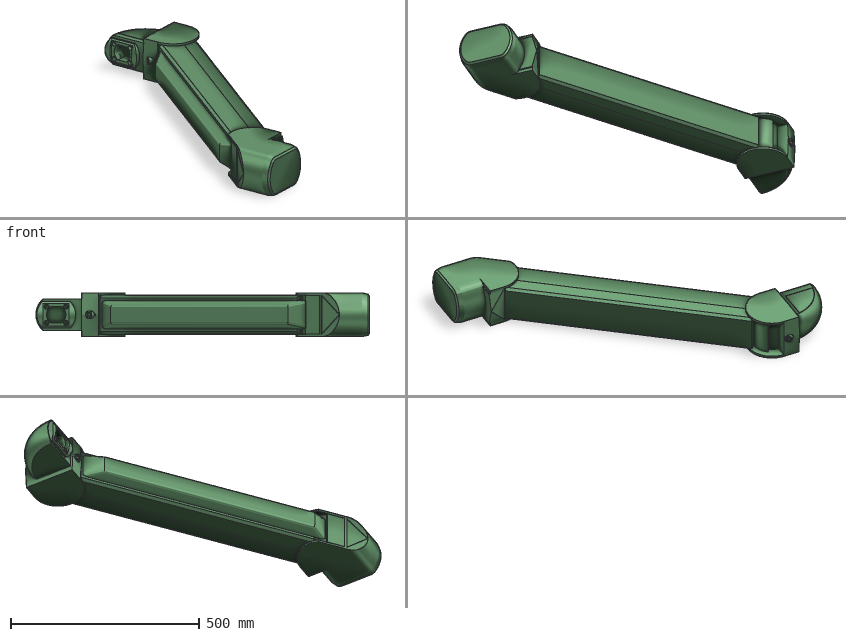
import cadquery as cq
import math

overall_length = 887.0
arm_length = 757.0
arm_angle = 38.4
joint_height = 116.0
plate_thickness = 6.0
slot_height = joint_height - 2 * plate_thickness
reach = 266.0

arm_x = math.cos(math.radians(arm_angle))
arm_y = -math.sin(math.radians(arm_angle))
elbow_x = arm_length * arm_x
elbow_y = arm_length * arm_y

wrist_radius = 70.0
wrist_face_x = -45.0
ridge_rise = 3.0

elbow_radius = 68.0
corner_x = 43.0
tube_top_y = 47.0
tube_bottom_y = -112.0
tube_round_depth = 38.0
shoulder_inset = 17.0
shoulder_drop = 10.0
taper_length = 19.5
taper_drop = 4.0
rim_chamfer = 4.0
cut_distance = 58.5
slot_setback = 9.0
wedge_rise = 13.0
wedge_start_x = 3.0
wedge_height = 98.0
wedge_overhang = 3.5
panel_depth = 1.0
panel_length = 48.0
panel_to_tube = 7.0

hub_radius = 41.0
collar_radius = 52.0
beam_setback = 44.0
beam_top = 54.0
beam_bottom = -51.0
beam_chamfer = 7.0
seam_y = 11.5
cover_depth = 27.5
cover_base_width = 75.0
cover_crown_width = 53.0
cover_round = 11.0
cover_start = 52.0
cover_gap = 2.0
cover_end = arm_length - slot_setback - cover_gap
cover_start_ramp = 51.0
cover_end_ramp = 43.0

head_radius = 124.0
head_center_x = -43.0
head_center_y = -66.0
head_height = 84.0
head_half_height = head_height / 2
head_round_depth = 19.5
recess_depth = 1.0
recess_margin = 19.0
recess_edge_inset = 1.0
recess_radius = head_radius - head_round_depth - recess_edge_inset
mouth_center_x = -113.0
mouth_length = 103.0
mouth_height = 70.0
mouth_rise = 15.0
pad_rise = 7.0
pad_gap = 69.0
crown_drop = 10.0
opening_radius = 26.0
opening_height = 43.5
opening_depth = 27.0
mouth_hole_diameter = 12.0
mouth_hole_x = 26.0
mouth_hole_z = 21.0
mouth_hole_depth = 13.0

screw_diameter = 20.0
screw_length = 16.0
socket_diameter = 12.0
socket_depth = 4.0
screw_cap_y = 76.0
screw_mid_x = -19.0
screw_shift_x = 8.0

tube_end_x = overall_length + head_center_x - head_radius - elbow_x


def plan_prism(points, height):
    """Polygon in XY extruded equally above and below z = 0."""
    return cq.Workplane("XY").polyline(points).close().extrude(height / 2, both=True)


def disc(radius, height):
    """Cylinder along Z, centred on z = 0."""
    return cq.Workplane("XY").circle(radius).extrude(height / 2, both=True)


def place_on_arm(body):
    """Turn a body from the arm's own frame to its place in the assembly."""
    return body.rotate((0, 0, 0), (0, 0, 1), -arm_angle)


def make_arm_blank():
    """Chamfered beam with a hub and a wider half-round collar at each joint, in the arm's own frame."""
    beam_width = beam_top - beam_bottom
    beam = (
        cq.Workplane("YZ", origin=(beam_setback, (beam_top + beam_bottom) / 2, 0))
        .rect(beam_width, slot_height)
        .extrude(arm_length - 2 * beam_setback)
        .edges("|X")
        .chamfer(beam_chamfer)
    )
    between_joints = cq.Workplane("XY").box(arm_length, reach, reach).translate((arm_length / 2, 0, 0))
    for joint_x in (0, arm_length):
        hub = disc(hub_radius, slot_height).translate((joint_x, 0, 0))
        collar = disc(collar_radius, slot_height).translate((joint_x, 0, 0)).intersect(between_joints)
        beam = beam.union(hub).union(collar)
    return beam


def make_cover():
    """Tapered cover along the underside of the arm, ramped at both ends."""
    crown_y = beam_bottom - cover_depth
    cover = (
        cq.Workplane("YZ", origin=(cover_start, 0, 0))
        .polyline([
            (beam_bottom, cover_base_width / 2),
            (crown_y, cover_crown_width / 2),
            (crown_y, -cover_crown_width / 2),
            (beam_bottom, -cover_base_width / 2),
        ])
        .close()
        .extrude(cover_end - cover_start)
    )
    ramps = plan_prism(
        [
            (cover_start, beam_bottom),
            (cover_start + cover_start_ramp, crown_y),
            (cover_end - cover_end_ramp, crown_y),
            (cover_end, beam_bottom),
        ],
        slot_height,
    )
    return cover.intersect(ramps).faces("<Y or <X or >X").edges("not |Z").fillet(cover_round)


def make_arm_half(upper):
    """One half of the arm; a plane along the arm parts the halves, and the lower one carries the cover."""
    side = 1 if upper else -1
    half_space = (
        cq.Workplane("XY")
        .box(arm_length + 2 * reach, reach, reach)
        .translate((arm_length / 2, seam_y + side * reach / 2, 0))
    )
    half = make_arm_blank().intersect(half_space)
    if not upper:
        half = half.union(make_cover())
    return place_on_arm(half)


def make_wrist_blank():
    """D-shaped joint block whose flat sides rise to a low ridge at mid height."""
    block = (
        cq.Workplane("XY")
        .moveTo(0, wrist_radius)
        .threePointArc((wrist_radius, 0), (0, -wrist_radius))
        .lineTo(wrist_face_x, -wrist_radius)
        .lineTo(wrist_face_x, wrist_radius)
        .close()
        .extrude(joint_height / 2, both=True)
    )
    ridge = (
        cq.Workplane("YZ", origin=(wrist_face_x, 0, 0))
        .polyline([
            (wrist_radius, joint_height / 2),
            (wrist_radius + ridge_rise, 0),
            (wrist_radius, -joint_height / 2),
            (-wrist_radius, -joint_height / 2),
            (-wrist_radius - ridge_rise, 0),
            (-wrist_radius, joint_height / 2),
        ])
        .close()
        .extrude(-wrist_face_x)
    )
    slot = cq.Workplane("XY").box(reach, reach, slot_height).translate((reach / 2, 0, 0))
    return block.union(ridge).cut(slot)


def make_tube():
    """Flattened tube of the elbow along +X, with rounded sides and a tapered end."""
    half_height = joint_height / 2
    flat_top = tube_top_y - tube_round_depth
    flat_bottom = tube_bottom_y + tube_round_depth
    shoulder_top = tube_top_y - shoulder_inset
    shoulder_bottom = tube_bottom_y + shoulder_inset
    shoulder_z = half_height - shoulder_drop
    return (
        cq.Workplane("YZ", origin=(-elbow_radius, 0, 0))
        .moveTo(flat_bottom, half_height)
        .lineTo(flat_top, half_height)
        .tangentArcPoint((shoulder_top, shoulder_z), relative=False)
        .threePointArc((tube_top_y, 0), (shoulder_top, -shoulder_z))
        .tangentArcPoint((flat_top, -half_height), relative=False)
        .lineTo(flat_bottom, -half_height)
        .tangentArcPoint((shoulder_bottom, -shoulder_z), relative=False)
        .threePointArc((tube_bottom_y, 0), (shoulder_bottom, shoulder_z))
        .tangentArcPoint((flat_bottom, half_height), relative=False)
        .close()
        .extrude(tube_end_x + elbow_radius)
        .faces(">X")
        .chamfer(taper_length, taper_drop)
        .faces(">X")
        .chamfer(rim_chamfer)
    )


def make_wedge():
    """Wedge on the +Y side of the elbow, rising towards the corner and ridged at mid height."""
    wedge_end_x = corner_x + wedge_overhang
    plan = plan_prism(
        [
            (wedge_start_x, elbow_radius),
            (wedge_end_x, elbow_radius + wedge_rise),
            (wedge_end_x, 0),
            (wedge_start_x, 0),
        ],
        wedge_height,
    )
    ridge = (
        cq.Workplane("YZ")
        .polyline([
            (0, wedge_height / 2),
            (elbow_radius, wedge_height / 2),
            (elbow_radius + wedge_rise, 0),
            (elbow_radius, -wedge_height / 2),
            (0, -wedge_height / 2),
        ])
        .close()
        .extrude(wedge_end_x)
    )
    return plan.intersect(ridge)


def make_slant_recesses():
    """Shallow panel and triangle on the slanted face; drawn on it with X running down the slope."""
    panel_height = slot_height - 2 * panel_depth
    panel_end = panel_length - slot_setback
    triangle_start = panel_end + panel_to_tube
    foot_x = cut_distance * arm_y
    foot_y = -cut_distance * arm_x
    triangle_end = (foot_y - tube_bottom_y) / -arm_y
    face = cq.Plane(origin=(foot_x, foot_y, 0), xDir=(arm_x, arm_y, 0), normal=(arm_y, -arm_x, 0))
    panel = (
        cq.Workplane(face)
        .center(panel_end - panel_length / 2, 0)
        .rect(panel_length, panel_height)
        .extrude(-panel_depth)
    )
    triangle = (
        cq.Workplane(face)
        .polyline([
            (triangle_start, panel_height / 2),
            (triangle_end, 0),
            (triangle_start, -panel_height / 2),
        ])
        .close()
        .extrude(-panel_depth)
    )
    return panel.union(triangle)


def make_elbow_blank():
    """Round joint running into the tube, cut off by a slanted face and slotted for the arm."""
    flat_top = tube_top_y - tube_round_depth
    corner = plan_prism(
        [(0, 0), (0, elbow_radius), (corner_x, elbow_radius), (corner_x, 0)],
        joint_height,
    )
    joint = disc(elbow_radius, joint_height).intersect(
        plan_prism([(-reach, -reach), (-reach, reach), (corner_x, reach), (corner_x, -reach)], reach)
    )
    slant_keep = (
        cq.Workplane("XY")
        .box(2 * reach, 2 * reach, reach)
        .translate((0, reach - cut_distance, 0))
        .rotate((0, 0, 0), (0, 0, 1), -arm_angle)
    )
    tube_keep = plan_prism(
        [
            (0, 0),
            (corner_x, flat_top),
            (corner_x, reach),
            (reach, reach),
            (reach, -reach),
            (-elbow_radius, -reach),
            (-elbow_radius, 0),
        ],
        reach,
    )
    foot_x = reach * arm_y
    foot_y = -reach * arm_x
    setback_x = -slot_setback * arm_x
    setback_y = -slot_setback * arm_y
    slot = plan_prism(
        [
            (0, 0),
            (0, reach),
            (-reach, reach),
            (-reach, foot_y),
            (foot_x + setback_x, foot_y + setback_y),
            (setback_x, setback_y),
        ],
        slot_height,
    )
    flank = plan_prism([(0, 0), (-reach, 0), (-reach, -reach), (foot_x, foot_y)], 2 * reach)
    elbow = make_tube().intersect(tube_keep).cut(flank)
    elbow = elbow.union(joint).union(corner).union(make_wedge())
    elbow = elbow.intersect(slant_keep).cut(slot).cut(make_slant_recesses())
    return elbow.translate((elbow_x, elbow_y, 0))


def make_head():
    """Quarter-turn duct with a rounded outer edge, from the wrist face round to a mouth facing -Y."""
    inner = head_radius - head_round_depth
    ring = (
        cq.Workplane("XZ", origin=(head_center_x, head_center_y, 0))
        .moveTo(0, -head_half_height)
        .lineTo(inner, -head_half_height)
        .threePointArc((head_radius, 0), (inner, head_half_height))
        .lineTo(0, head_half_height)
        .close()
        .revolve(360, (0, 0, 0), (0, 1, 0))
    )
    quarter = plan_prism(
        [
            (wrist_face_x, head_center_y),
            (wrist_face_x, reach),
            (-reach, reach),
            (-reach, head_center_y),
        ],
        reach,
    )
    panel_corner_x = wrist_face_x - recess_margin
    panel_corner_y = head_center_y + recess_margin
    panel_edge = (
        cq.Workplane("XY", origin=(0, 0, head_half_height - recess_depth))
        .center(head_center_x, head_center_y)
        .circle(recess_radius)
        .extrude(recess_depth)
    )
    panel_keep = plan_prism(
        [
            (panel_corner_x, panel_corner_y),
            (panel_corner_x, reach),
            (-reach, reach),
            (-reach, panel_corner_y),
        ],
        reach,
    )
    head = ring.intersect(quarter).cut(panel_edge.intersect(panel_keep))
    return head.union(make_mouth()).cut(make_mouth_cuts())


def slot_shape(length, height, depth, y):
    """Prism along +Y from y, round at both X ends and flat above and below."""
    circle = cq.Workplane("XZ", origin=(mouth_center_x, y, 0)).circle(length / 2).extrude(-depth)
    band = cq.Workplane("XZ", origin=(mouth_center_x, y, 0)).rect(length, height).extrude(-depth)
    return circle.intersect(band)


def make_mouth():
    """Flange round the head's opening: crowned pads at both X ends and a lower middle."""
    outer_y = head_center_y - mouth_rise
    flange = slot_shape(mouth_length, mouth_height, mouth_rise, outer_y)
    gap = (
        cq.Workplane("XY")
        .box(pad_gap, 2 * pad_rise, reach)
        .translate((mouth_center_x, outer_y, 0))
    )
    crown = (
        cq.Workplane("YZ", origin=(-reach, 0, 0))
        .moveTo(outer_y + crown_drop, mouth_height / 2)
        .threePointArc((outer_y, 0), (outer_y + crown_drop, -mouth_height / 2))
        .lineTo(0, -mouth_height / 2)
        .lineTo(0, mouth_height / 2)
        .close()
        .extrude(reach)
    )
    return flange.intersect(crown).cut(gap)


def make_mouth_cuts():
    """Central opening with flat top and bottom, and four screw holes round it."""
    outer_y = head_center_y - mouth_rise
    opening = slot_shape(2 * opening_radius, opening_height, mouth_rise + opening_depth, outer_y)
    holes = (
        cq.Workplane("XZ", origin=(mouth_center_x, outer_y, 0))
        .rect(2 * mouth_hole_x, 2 * mouth_hole_z, forConstruction=True)
        .vertices()
        .circle(mouth_hole_diameter / 2)
        .extrude(-mouth_rise - mouth_hole_depth)
    )
    return opening.union(holes)


def make_screw(side, socket=True):
    """Screw square to the arm, on the +Y (side 1) or -Y (side -1) flat of the wrist."""
    outward = (-side * arm_y, side * arm_x, 0)
    cap = (screw_mid_x + side * screw_shift_x, side * screw_cap_y, 0)
    cap_plane = cq.Plane(origin=cap, xDir=(0, 0, 1), normal=outward)
    screw = cq.Workplane(cap_plane).circle(screw_diameter / 2).extrude(-screw_length)
    if socket:
        screw = screw.cut(cq.Workplane(cap_plane).circle(socket_diameter / 2).extrude(-socket_depth))
    return screw


arm_upper = make_arm_half(upper=True)
arm_lower = make_arm_half(upper=False)
screw_sides = (1, -1)
wrist = make_wrist_blank().cut(arm_upper).cut(arm_lower)
for side in screw_sides:
    wrist = wrist.cut(make_screw(side, socket=False))
elbow = make_elbow_blank().cut(arm_upper).cut(arm_lower)
head = make_head()
screws = [make_screw(side) for side in screw_sides]

result = cq.Compound.makeCompound([
    wrist.val(),
    head.val(),
    arm_upper.val(),
    arm_lower.val(),
    elbow.val(),
    *[screw.val() for screw in screws],
])